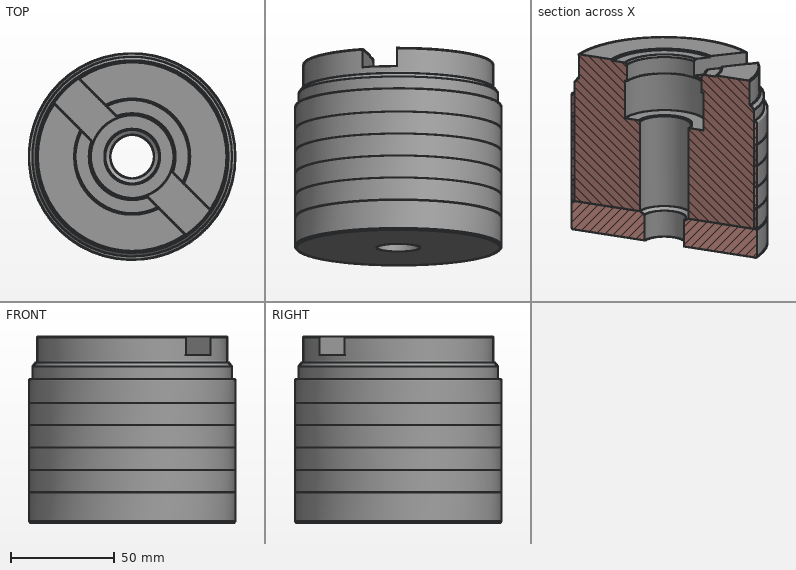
import cadquery as cq

outer_radius = 50.0
total_height = 90.0
base_height = 14.8
ring_height = 10.8
ring_count = 5
stack_top = 69.6

base_edge_chamfer = 0.8
base_top_chamfer = 0.2
through_radius = 10.5
seat_radius = 13.0
seat_cone_height = 1.5

collar_radius = 48.3
collar_chamfer_bottom = 75.4
collar_top = 77.5
shoulder_radius = 46.6
head_radius = 46.0
head_edge_chamfer = 0.4
head_foot_height = 0.7
head_foot_flare = 0.2
bore_radius = 20.0
bore_chamfer = 1.0
lower_bore_radius = 21.0
lower_bore_top = 80.0
bore_floor = 61.1
floor_hole_radius = seat_radius
floor_hole_chamfer = 0.5
recess_top_radius = 28.1
recess_floor_radius = 27.4
recess_depth = 0.6
slot_width = 17.0
slot_depth = 9.0
slot_angle = 135.0

ring_inner_radius = collar_radius
stack_top_fillet = 1.0
ring_fillet = 0.2


def revolve_profile(points):
    """Revolve a closed (radius, height) outline about the Z axis."""
    return cq.Workplane("XZ").polyline(points).close().revolve(360, (0, 0), (0, 1))


def make_base():
    """Bottom disk whose seat funnels into the through hole."""
    return revolve_profile([
        (through_radius, 0),
        (outer_radius - base_edge_chamfer, 0),
        (outer_radius, base_edge_chamfer),
        (outer_radius, base_height - base_top_chamfer),
        (outer_radius - base_top_chamfer, base_height),
        (seat_radius, base_height),
        (through_radius, base_height - seat_cone_height),
    ])


def make_core():
    """Cup-shaped core with a holed floor that carries the rings and ends in a slotted head."""
    recess_floor = total_height - recess_depth
    body = revolve_profile([
        (floor_hole_radius, base_height),
        (collar_radius, base_height),
        (collar_radius, collar_chamfer_bottom),
        (shoulder_radius, collar_top),
        (head_radius + head_foot_flare, collar_top),
        (head_radius, collar_top + head_foot_height),
        (head_radius, total_height - head_edge_chamfer),
        (head_radius - head_edge_chamfer, total_height),
        (recess_top_radius, total_height),
        (recess_floor_radius, recess_floor),
        (bore_radius + bore_chamfer, recess_floor),
        (bore_radius, recess_floor - bore_chamfer),
        (bore_radius, lower_bore_top),
        (lower_bore_radius, lower_bore_top),
        (lower_bore_radius, bore_floor),
        (floor_hole_radius + floor_hole_chamfer, bore_floor),
        (floor_hole_radius, bore_floor - floor_hole_chamfer),
    ])
    slot = (
        cq.Workplane("XY")
        .box(2 * outer_radius, slot_width, slot_depth, centered=(True, True, False))
        .rotate((0, 0, 0), (0, 0, 1), slot_angle)
        .translate((0, 0, total_height - slot_depth))
    )
    return body.cut(slot)


def make_ring(bottom, top, top_fillet):
    """Plain ring with a rounded top outer edge."""
    ring = revolve_profile([
        (ring_inner_radius, bottom),
        (outer_radius, bottom),
        (outer_radius, top),
        (ring_inner_radius, top),
    ])
    top_outer_edge = ring.faces(">Z").edges(cq.selectors.RadiusNthSelector(-1))
    return top_outer_edge.fillet(top_fillet)


def make_rings():
    """Stack the rings upward from the base; the top one is taller and more rounded."""
    rings = []
    for index in range(ring_count):
        bottom = base_height + index * ring_height
        if index == ring_count - 1:
            ring = make_ring(bottom, stack_top, stack_top_fillet)
        else:
            ring = make_ring(bottom, bottom + ring_height, ring_fillet)
        rings.append(ring.val())
    return rings


base = make_base()
core = make_core()
rings = make_rings()

result = cq.Compound.makeCompound([base.val(), core.val(), *rings])